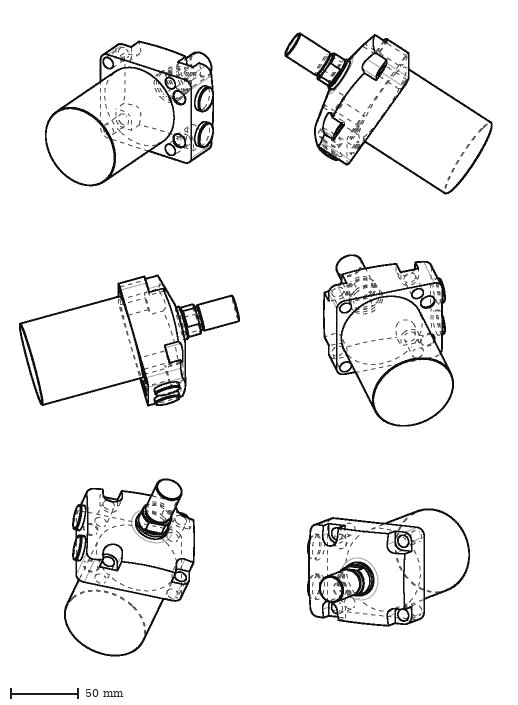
import cadquery as cq
import math


block_height = 70.0
block_left = block_height / 2
block_right = 47.0
left_corner_radius = 6.3
right_corner_radius = 6.0

crown_y = 37.4
crown_radius = 15.8
crown_slope = 15.6

barrel_diameter = 63.0
barrel_length = 77.5
barrel_chamfer = 0.5

hole_pitch = 56.1
hole_offset = hole_pitch / 2
hole_diameter = 9.0
pocket_floor_y = 20.0
pocket_width = 14.0
pocket_inner = hole_offset - pocket_width / 2
corner_pocket_radius = 6.3

recess_x = 36.0
recess_pitch = 36.1
recess_diameter = 11.0
recess_depth = 1.1

shank_diameter = 25.0
neck_diameter = 22.8
neck_start_y = 41.2
shank_chamfer = (shank_diameter - neck_diameter) / 2
neck_end_y = 51.0
edge_chamfer = 0.5
flat_spacing = 19.0
flat_start_y = 41.8
run_out_height = 1.1
relief_diameter = 18.0
thread_start_y = 53.0
thread_diameter = 20.0
thread_chamfer = 0.6
overall_length = 158.5
rod_end_y = overall_length - barrel_length

plug_diameter = 19.0
plug_height = 4.0
plug_pitch = 30.1
plug_y = 14.0
plug_chamfer_height = 1.0
plug_chamfer_width = 0.5


def plane_at(front_y):
    """Workplane with local axes +X and +Z; extrusions run from front_y towards -Y."""
    return cq.Workplane("XZ", origin=(0, front_y, 0))


def make_block():
    """Rectangular flange with rounded corners, trimmed to a cone at the front."""
    block = (
        plane_at(crown_y)
        .center((block_right - block_left) / 2, 0)
        .rect(block_left + block_right, block_height)
        .extrude(crown_y)
        .edges("|Y and <X")
        .fillet(left_corner_radius)
        .edges("|Y and >X")
        .fillet(right_corner_radius)
    )
    cone_radius = block_left + block_right
    cone_drop = (cone_radius - crown_radius) * math.tan(math.radians(crown_slope))
    cone = (
        cq.Workplane("XY")
        .polyline([
            (0, 0),
            (cone_radius, 0),
            (cone_radius, crown_y - cone_drop),
            (crown_radius, crown_y),
            (0, crown_y),
        ])
        .close()
        .revolve(360, (0, 0, 0), (0, 1, 0))
    )
    return block.intersect(cone)


def make_barrel():
    return (
        plane_at(0)
        .circle(barrel_diameter / 2)
        .extrude(barrel_length)
        .faces("<Y")
        .chamfer(barrel_chamfer)
    )


def make_corner_pocket():
    """Pocket open to -X and +Z, with a rounded inner corner."""
    size = block_left - pocket_inner + pocket_width
    middle = pocket_inner + size / 2
    return (
        plane_at(crown_y)
        .center(-middle, middle)
        .rect(size, size)
        .extrude(crown_y - pocket_floor_y)
        .edges("|Y and >X and <Z")
        .fillet(corner_pocket_radius)
    )


def make_slot_pocket():
    """Pocket with a half-round bottom, open to +Z only."""
    depth = crown_y - pocket_floor_y
    round_bottom = plane_at(crown_y).center(hole_offset, hole_offset).circle(pocket_width / 2).extrude(depth)
    open_side = (
        plane_at(crown_y)
        .center(hole_offset, hole_offset + pocket_width / 2)
        .rect(pocket_width, pocket_width)
        .extrude(depth)
    )
    return round_bottom.union(open_side)


def make_housing():
    housing = make_block().union(make_barrel())

    holes = plane_at(crown_y).rect(hole_pitch, hole_pitch, forConstruction=True).vertices()
    housing = housing.cut(holes.circle(hole_diameter / 2).extrude(crown_y))

    for pocket in (make_corner_pocket(), make_slot_pocket()):
        housing = housing.cut(pocket).cut(pocket.mirror("XY"))

    recess_centers = [(recess_x, side * recess_pitch / 2) for side in (-1, 1)]
    recesses = plane_at(recess_depth).pushPoints(recess_centers)
    return housing.cut(recesses.circle(recess_diameter / 2).extrude(recess_depth))


def make_wrench_flat_cut():
    """Material removed above the upper wrench flat, ending in a sloped run-out at the shank."""
    flat_z = flat_spacing / 2
    top_z = neck_diameter
    return (
        cq.Workplane("YZ")
        .polyline([
            (neck_end_y, flat_z),
            (flat_start_y, flat_z),
            (neck_start_y, flat_z + run_out_height),
            (neck_start_y, top_z),
            (neck_end_y, top_z),
        ])
        .close()
        .extrude(neck_diameter, both=True)
    )


def make_rod():
    """Turned rod standing on the crown of the housing."""
    shank_radius = shank_diameter / 2
    neck_radius = neck_diameter / 2
    relief_radius = relief_diameter / 2
    thread_radius = thread_diameter / 2
    thread_lead_in = thread_radius - relief_radius
    rod = (
        cq.Workplane("XY")
        .polyline([
            (0, crown_y),
            (shank_radius, crown_y),
            (shank_radius, neck_start_y - shank_chamfer),
            (neck_radius, neck_start_y),
            (neck_radius, neck_end_y - edge_chamfer),
            (neck_radius - edge_chamfer, neck_end_y),
            (relief_radius, neck_end_y),
            (relief_radius, thread_start_y),
            (thread_radius, thread_start_y + thread_lead_in),
            (thread_radius, rod_end_y - thread_chamfer),
            (thread_radius - thread_chamfer, rod_end_y),
            (0, rod_end_y),
        ])
        .close()
        .revolve(360, (0, 0, 0), (0, 1, 0))
    )
    flat_cut = make_wrench_flat_cut()
    return rod.cut(flat_cut).cut(flat_cut.mirror("XY"))


def make_port_plug(center_z):
    """Round plug seated on the +X face of the block, with a chamfered outer rim."""
    return (
        cq.Workplane("YZ", origin=(block_right, plug_y, center_z))
        .circle(plug_diameter / 2)
        .extrude(plug_height)
        .faces(">X")
        .edges()
        .chamfer(plug_chamfer_height, plug_chamfer_width)
    )


housing = make_housing()
rod = make_rod()
port_plugs = [make_port_plug(side * plug_pitch / 2) for side in (-1, 1)]

result = cq.Compound.makeCompound([
    housing.val(),
    rod.val(),
    *[plug.val() for plug in port_plugs],
])